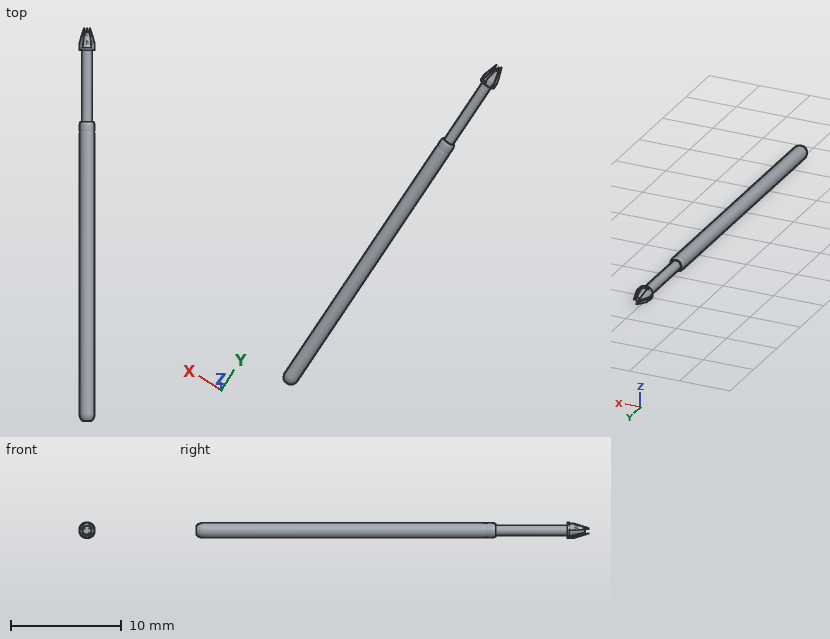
import cadquery as cq
import math


total_length = 35.4
head_diameter = 1.44

barrel_diameter = 1.37
barrel_length = 27.0
rear_flat_radius = 0.40
dome_length = 0.61
mouth_radius = 0.57
mouth_length = 0.32
groove_setback = 0.73
groove_width = 0.34
groove_depth = 0.02

shaft_diameter = 0.95
head_length = 1.95
head_land_length = 0.55
tip_radius = 0.30

prong_count = 3
slot_length = 1.75
slot_tip_width = 0.48
slot_rear_width = 0.76
core_recess = 0.33
core_tip_radius = 0.22
core_rear_radius = 0.55



def revolve_about_y(profile):
    """Turn a half section a full circle about the probe axis."""
    return profile.revolve(360, (0, 0, 0), (0, 1, 0))


def barrel_profile():
    """Half section of the barrel: domed rear, crimp groove and rounded mouth."""
    radius = barrel_diameter / 2
    inset = radius - rear_flat_radius
    dome_radius = (dome_length**2 + inset**2) / (2 * inset)
    half_sweep = math.asin(dome_length / dome_radius) / 2
    dome_middle = (
        radius - dome_radius * (1 - math.cos(half_sweep)),
        dome_length - dome_radius * math.sin(half_sweep),
    )
    groove_front = barrel_length - groove_setback
    groove_rear = groove_front - groove_width
    groove_middle = (radius - groove_depth, (groove_front + groove_rear) / 2)
    return (
        cq.Workplane("XY")
        .lineTo(rear_flat_radius, 0)
        .threePointArc(dome_middle, (radius, dome_length))
        .lineTo(radius, groove_rear)
        .threePointArc(groove_middle, (radius, groove_front))
        .lineTo(radius, barrel_length - mouth_length)
        .tangentArcPoint((mouth_radius, barrel_length), relative=False)
        .lineTo(0, barrel_length)
        .close()
    )


def plunger_profile():
    """Half section of the plunger: shaft, head land and tapered tip."""
    head_rear = total_length - head_length
    return (
        cq.Workplane("XY")
        .moveTo(0, barrel_length - mouth_length)
        .lineTo(shaft_diameter / 2, barrel_length - mouth_length)
        .lineTo(shaft_diameter / 2, head_rear)
        .lineTo(head_diameter / 2, head_rear)
        .lineTo(head_diameter / 2, head_rear + head_land_length)
        .lineTo(tip_radius, total_length)
        .lineTo(0, total_length)
        .close()
    )


def slot_cutter():
    """Slot on the +Z side, widening from the tip toward the head land."""
    slot_rear = total_length - slot_length
    return (
        cq.Workplane("XY")
        .moveTo(-slot_rear_width / 2, slot_rear)
        .lineTo(slot_rear_width / 2, slot_rear)
        .lineTo(slot_tip_width / 2, total_length)
        .lineTo(-slot_tip_width / 2, total_length)
        .close()
        .extrude(head_diameter)
    )


def core_cone():
    """Cone that stays standing between the prongs, set back from their points."""
    slot_rear = total_length - slot_length
    core_front = total_length - core_recess
    profile = (
        cq.Workplane("XY")
        .moveTo(0, slot_rear)
        .lineTo(core_rear_radius, slot_rear)
        .lineTo(core_tip_radius, core_front)
        .lineTo(0, core_front)
        .close()
    )
    return revolve_about_y(profile)


def cut_crown(plunger):
    """Cut the slots between the prongs and restore the cone inside them."""
    for index in range(prong_count):
        turn = index * 360 / prong_count
        plunger = plunger.cut(slot_cutter().rotate((0, 0, 0), (0, 1, 0), turn))
    return plunger.union(core_cone())


barrel = revolve_about_y(barrel_profile())
plunger = cut_crown(revolve_about_y(plunger_profile()))
result = barrel.union(plunger)